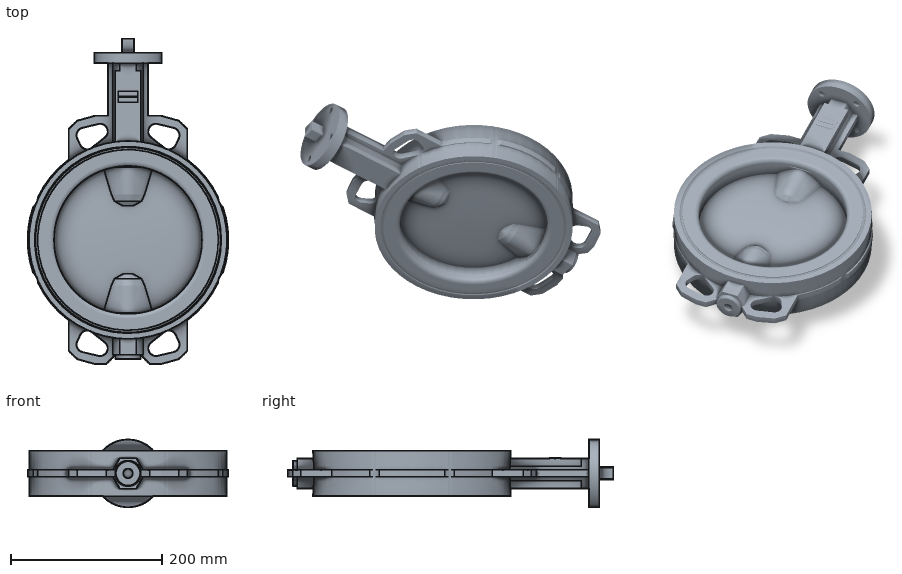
import cadquery as cq
import math


BODY_RADIUS = 131.0
BODY_HEIGHT = 60.0
BORE_RADIUS = 98.0
SEAT_LIP_FILLET = 6.0
SEAT_GROOVE_OUTER_RADIUS = 123.5
SEAT_GROOVE_INNER_RADIUS = 119.5
SEAT_GROOVE_BEVEL = 1.0
SEAT_GROOVE_DEPTH = 1.0

WEB_THICKNESS = 9.0
BELT_RADIUS = 132.0
SIDE_BELT_RADIUS = 133.0

BOLT_COUNT = 8
BOLT_PITCH = 360.0 / BOLT_COUNT
FIRST_BOLT_ANGLE = BOLT_PITCH / 2
BOLT_CIRCLE_RADIUS = 147.5
BOLT_CLEARANCE_RADIUS = 16.8

LUG_REACH = 164.5
LUG_HALF_WIDTH = 78.5
LUG_SHOULDER_X = 67.0
LUG_SHOULDER_Y = 158.0
LUG_CORNER_Y = 147.0
LUG_CREST_X = 43.5
FOOT_GAP_X = 29.0
LUG_SLOT_RADIUS = 10.0
LUG_SLOT_CENTRES = [(37.0, 143.5), (58.0, 138.5), (54.0, 130.0)]

NECK_PLATE_HALF_WIDTH = 26.8
FLANGE_RADIUS = 45.0
FLANGE_NEAR_Y = 234.0
FLANGE_THICKNESS = 14.0
FLANGE_BOLT_CIRCLE = 70.0
FLANGE_HOLE_DIAMETER = 9.0
FLANGE_HOLE_COUNT = 4
FLANGE_HOLE_START_ANGLE = 45.0
HOUSING_HALF_WIDTH = 20.0
HOUSING_HALF_HEIGHT = 20.0
HOUSING_CREST_HALF_WIDTH = 11.0
NECK_BOX_HALF_WIDTH = 17.0
NECK_BOX_END_Y = 224.0
LABEL_WIDTH = 25.5
LABEL_THICKNESS = 0.5
LABEL_LENGTH = 6.5
LABEL_CENTRES_Y = (193.5, 185.5)

STEM_WIDTH = 17.0
STEM_CHAMFER = 1.2
OVERALL_LENGTH = 431.0
STEM_END_Y = OVERALL_LENGTH - LUG_REACH

HOUSING_FOOT_Y = -152.0
PLUG_RADIUS = 17.0
PLUG_LENGTH = 6.0
PLUG_CHAMFER = 1.0
PLUG_SOCKET_DIAMETER = 12.5
PLUG_SOCKET_DEPTH = 8.0

DISC_EDGE_HALF_THICKNESS = 4.0
DISC_CENTRE_HALF_THICKNESS = 9.0

HUB_WALL_SECTION = (BORE_RADIUS, [(33.0, 4.0), (28.0, 8.0), (9.0, 17.5)])
HUB_NOSE_SECTION = (60.0, [(22.5, 6.5), (17.5, 9.5), (8.0, 16.0)])
HUB_CURVE_SECTION = (51.5, [(18.5, 7.2), (14.0, 9.5), (6.0, 13.5)])
HUB_TIP_SECTION = (45.0, [(8.0, 7.5), (6.0, 8.0), (3.0, 8.2)])
HUB_CREST_RISE_RATIO = 0.25

LAND_HALF_WIDTH = 17.0
LAND_HALF_HEIGHT = 21.0

ROOT_RADIUS = (BORE_RADIUS + BODY_RADIUS) / 2


def cylinder(radius, height):
    return cq.Workplane("XY").circle(radius).extrude(height / 2, both=True)


def plane_at_y(y):
    """Sketch plane with local x along X, local y along Z and normal +Y."""
    return cq.Workplane(cq.Plane(origin=(0, y, 0), xDir=(-1, 0, 0), normal=(0, 1, 0)))


def bored_cylinder(radius, height):
    return cylinder(radius, height).cut(cylinder(BORE_RADIUS, height))


def seat_groove():
    """Shallow ring groove with a bevelled outer wall in the top face."""
    top = BODY_HEIGHT / 2
    floor = top - SEAT_GROOVE_DEPTH
    return (
        cq.Workplane("XZ")
        .moveTo(SEAT_GROOVE_INNER_RADIUS, floor)
        .lineTo(SEAT_GROOVE_OUTER_RADIUS - SEAT_GROOVE_BEVEL, floor)
        .lineTo(SEAT_GROOVE_OUTER_RADIUS, top)
        .lineTo(SEAT_GROOVE_INNER_RADIUS, top)
        .close()
        .revolve(360, (0, 0, 0), (0, 1, 0))
    )


def body_ring():
    """Body with rounded seat lips and a seat groove on both faces."""
    ring = bored_cylinder(BODY_RADIUS, BODY_HEIGHT)
    on_bore = cq.selectors.RadiusNthSelector(0)
    ring = ring.edges("%CIRCLE").edges(on_bore).fillet(SEAT_LIP_FILLET)
    groove = seat_groove()
    return ring.cut(groove).cut(groove.mirror("XY"))


def belt():
    """Mid-plane belt, deeper on the X sides between the outermost bolts."""
    side_length = 2 * BODY_RADIUS * math.sin(math.radians(FIRST_BOLT_ANGLE))
    sides = cq.Workplane("XY").box(2 * SIDE_BELT_RADIUS, side_length, WEB_THICKNESS)
    sides = sides.intersect(cylinder(SIDE_BELT_RADIUS, WEB_THICKNESS))
    sides = sides.cut(cylinder(BORE_RADIUS, WEB_THICKNESS))
    return bored_cylinder(BELT_RADIUS, WEB_THICKNESS).union(sides)


def bolt_clearances():
    """Shallow vertical scallops where the pipe bolts pass the body."""
    return (
        cq.Workplane("XY")
        .polarArray(BOLT_CIRCLE_RADIUS, FIRST_BOLT_ANGLE, 360, BOLT_COUNT)
        .circle(BOLT_CLEARANCE_RADIUS)
        .extrude(BODY_HEIGHT / 2, both=True)
    )


def lug_half(inner_points):
    """Right-hand lug on the +Y side; inner_points run from the crest back to the body."""
    root_y = math.sqrt(ROOT_RADIUS**2 - LUG_HALF_WIDTH**2)
    outline = [
        (LUG_HALF_WIDTH, root_y),
        (LUG_HALF_WIDTH, LUG_CORNER_Y),
        (LUG_SHOULDER_X, LUG_SHOULDER_Y),
        (LUG_CREST_X, LUG_REACH),
    ]
    plate = (
        cq.Workplane("XY")
        .polyline(outline + inner_points)
        .close()
        .extrude(WEB_THICKNESS / 2, both=True)
    )
    slot = (
        cq.Workplane("XY")
        .polyline(LUG_SLOT_CENTRES)
        .close()
        .offset2D(LUG_SLOT_RADIUS, "arc")
        .extrude(WEB_THICKNESS / 2, both=True)
    )
    return plate.cut(slot)


def lug_pair(inner_points):
    right = lug_half(inner_points)
    return right.union(right.mirror("YZ"))


def upper_lugs():
    return lug_pair([(0, LUG_REACH), (0, ROOT_RADIUS)])


def lower_lugs():
    """Lugs on the -Y side, cut back at 45 degrees to clear the plug."""
    gap_bottom = LUG_REACH - (FOOT_GAP_X - HOUSING_CREST_HALF_WIDTH)
    inner = [
        (FOOT_GAP_X, LUG_REACH),
        (HOUSING_CREST_HALF_WIDTH, gap_bottom),
        (HOUSING_CREST_HALF_WIDTH, ROOT_RADIUS),
    ]
    return lug_pair(inner).mirror("XZ")


def housing(y_start, y_end):
    """Eight-sided shaft housing along Y."""
    half_web = WEB_THICKNESS / 2
    corner = [(HOUSING_HALF_WIDTH, half_web), (HOUSING_CREST_HALF_WIDTH, HOUSING_HALF_HEIGHT)]
    upper = corner + [(-x, z) for x, z in reversed(corner)]
    lower = [(-x, -z) for x, z in upper]
    return plane_at_y(y_start).polyline(upper + lower).close().extrude(y_end - y_start)


def box_between(half_width, y_start, y_end, height):
    length = y_end - y_start
    return cq.Workplane("XY").box(2 * half_width, length, height).translate((0, y_start + length / 2, 0))


def neck():
    """Flat plate, eight-sided housing and squared box between body and flange."""
    plate = box_between(NECK_PLATE_HALF_WIDTH, ROOT_RADIUS, FLANGE_NEAR_Y, WEB_THICKNESS)
    box = box_between(NECK_BOX_HALF_WIDTH, ROOT_RADIUS, NECK_BOX_END_Y, 2 * HOUSING_HALF_HEIGHT)
    assembled = plate.union(housing(ROOT_RADIUS, FLANGE_NEAR_Y)).union(box)
    for y in LABEL_CENTRES_Y:
        label = cq.Workplane("XY").box(LABEL_WIDTH, LABEL_LENGTH, LABEL_THICKNESS)
        assembled = assembled.union(label.translate((0, y, HOUSING_HALF_HEIGHT + LABEL_THICKNESS / 2)))
    return assembled


def actuator_flange():
    """Round flange with four bolt holes and the square drive stem."""
    flange = plane_at_y(FLANGE_NEAR_Y).circle(FLANGE_RADIUS).extrude(FLANGE_THICKNESS)
    holes = (
        plane_at_y(FLANGE_NEAR_Y)
        .polarArray(FLANGE_BOLT_CIRCLE / 2, FLANGE_HOLE_START_ANGLE, 360, FLANGE_HOLE_COUNT)
        .circle(FLANGE_HOLE_DIAMETER / 2)
        .extrude(FLANGE_THICKNESS)
    )
    stem = (
        plane_at_y(FLANGE_NEAR_Y)
        .rect(STEM_WIDTH, STEM_WIDTH)
        .extrude(STEM_END_Y - FLANGE_NEAR_Y)
        .edges("|Y")
        .chamfer(STEM_CHAMFER)
    )
    return flange.cut(holes).union(stem)


def lower_bearing():
    """Housing foot closed by a round plug with a blind socket."""
    plug_end = HOUSING_FOOT_Y - PLUG_LENGTH
    plug = plane_at_y(plug_end).circle(PLUG_RADIUS).extrude(PLUG_LENGTH)
    plug = plug.faces("<Y").chamfer(PLUG_CHAMFER)
    socket = plane_at_y(plug_end).circle(PLUG_SOCKET_DIAMETER / 2).extrude(PLUG_SOCKET_DEPTH)
    return housing(HOUSING_FOOT_Y, -ROOT_RADIUS).union(plug).cut(socket)


def shaft_land():
    """Flat on the +Y bore wall spanning a chord of the bore."""
    flat_y = math.sqrt(BORE_RADIUS**2 - LAND_HALF_WIDTH**2)
    return box_between(LAND_HALF_WIDTH, flat_y, ROOT_RADIUS, 2 * LAND_HALF_HEIGHT)


def disc():
    """Lens-shaped disc closing the bore."""
    edge = DISC_EDGE_HALF_THICKNESS
    centre = DISC_CENTRE_HALF_THICKNESS
    middle_radius = BORE_RADIUS / 2
    middle = edge + (centre - edge) * (1 - (middle_radius / BORE_RADIUS) ** 2)
    return (
        cq.Workplane("XZ")
        .moveTo(0, -centre)
        .threePointArc((middle_radius, -middle), (BORE_RADIUS, -edge))
        .lineTo(BORE_RADIUS, edge)
        .threePointArc((middle_radius, middle), (0, centre))
        .close()
        .revolve(360, (0, 0, 0), (0, 1, 0))
    )


def hub_wire(section):
    """Closed hub outline with arched crests, symmetric about both axes."""
    y, flank = section
    crest_x, crest_z = flank[-1]
    crest_top = crest_z + HUB_CREST_RISE_RATIO * crest_x
    left = [(-x, z) for x, z in reversed(flank)]
    sketch = plane_at_y(y).moveTo(*flank[0])
    for point in flank[1:]:
        sketch = sketch.lineTo(*point)
    sketch = sketch.threePointArc((0, crest_top), left[0])
    for x, z in left[1:] + [(-x, -z) for x, z in flank]:
        sketch = sketch.lineTo(x, z)
    sketch = sketch.threePointArc((0, -crest_top), (crest_x, -crest_z))
    for x, z in reversed(flank[:-1]):
        sketch = sketch.lineTo(x, -z)
    return sketch.close().val()


def hub():
    """Shaft hub on the +Y half of the disc, narrowing to a rounded nose."""
    sections = (HUB_WALL_SECTION, HUB_NOSE_SECTION, HUB_CURVE_SECTION, HUB_TIP_SECTION)
    wires = [hub_wire(section) for section in sections]
    solid = cq.Solid.makeLoft(wires, True)
    return cq.Workplane("XY").add(solid).intersect(cylinder(BORE_RADIUS, BODY_HEIGHT))


part = body_ring().union(belt()).cut(bolt_clearances())
for feature in (upper_lugs(), lower_lugs(), neck(), actuator_flange(), lower_bearing()):
    part = part.union(feature)
for feature in (shaft_land(), hub()):
    part = part.union(feature).union(feature.mirror("XZ"))
part = part.union(disc())

result = part